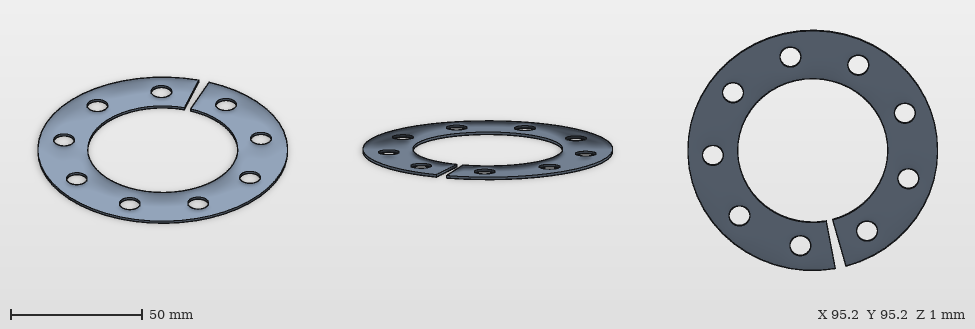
import cadquery as cq
import math

outer_diameter = 95.2
inner_diameter = 57.1
thickness = 1.0

hole_count = 9
hole_diameter = 7.9
bolt_circle_radius = (outer_diameter + inner_diameter) / 4
hole_pitch_angle = 360 / hole_count
first_hole_angle = 90.0

split_angle = first_hole_angle + hole_pitch_angle / 2
split_width_angle = 5.0


def polar_point(radius, angle):
    """Point at a radius and an angle in degrees from +X."""
    return (radius * math.cos(math.radians(angle)), radius * math.sin(math.radians(angle)))


def make_ring():
    """Plain washer centred on the origin."""
    return cq.Workplane("XY").circle(outer_diameter / 2).circle(inner_diameter / 2).extrude(thickness)


def make_bolt_holes():
    """Cylinders that cut the bolt holes."""
    return (
        cq.Workplane("XY")
        .polarArray(bolt_circle_radius, first_hole_angle, 360, hole_count)
        .circle(hole_diameter / 2)
        .extrude(thickness)
    )


def make_split():
    """Wedge with radial sides, reaching from the ring centre past its rim."""
    reach = outer_diameter
    return (
        cq.Workplane("XY")
        .polyline([
            (0, 0),
            polar_point(reach, split_angle - split_width_angle / 2),
            polar_point(reach, split_angle + split_width_angle / 2),
        ])
        .close()
        .extrude(thickness)
    )


result = make_ring().cut(make_bolt_holes()).cut(make_split())